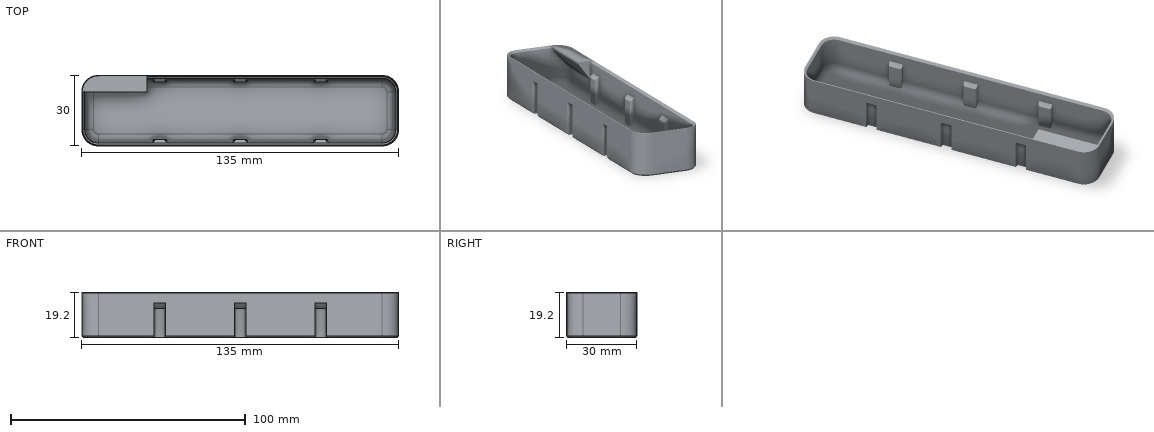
import cadquery as cq
import math

length = 135.0
width = 30.0
height = 19.2
corner_radius = 7.0
wall = 1.2
floor_thickness = 1.0
floor_fillet = 3.8
bottom_chamfer = 0.8
rim_land = 0.4

channel_pitch = 34.3
channel_offsets = (-channel_pitch, 0, channel_pitch)
channel_width = 5.0
channel_depth = 2.3
channel_height = 14.8
channel_corner_radius = 0.5

rib_skin = 0.5
rib_width = channel_width + 2 * rib_skin
rib_depth = channel_depth + rib_skin
rib_height = channel_height + rib_skin * math.sqrt(2)
rib_corner_radius = 0.8

shelf_length = 27.8
shelf_width = 7.0
shelf_edge = 0.8
shelf_slope_height = 7.6


def rounded_block(inset, bottom, top):
    """Upright block with the tray outline moved inwards by an inset."""
    return (
        cq.Workplane("XY")
        .workplane(offset=bottom)
        .rect(length - 2 * inset, width - 2 * inset)
        .extrude(top - bottom)
        .edges("|Z")
        .fillet(corner_radius - inset)
    )


def make_cavity():
    """Inside of the tray: rounded floor edge and a lead-in chamfer at the rim."""
    lead_in = wall - rim_land
    pocket = rounded_block(wall, floor_thickness, height).faces("<Z").edges().fillet(floor_fillet)
    flare = rounded_block(rim_land, height - 2 * lead_in, height).faces("<Z").chamfer(lead_in)
    flare = flare.translate((0, 0, lead_in))
    return pocket.union(flare)


def make_shelf(body):
    """Shelf in the -X, +Y corner, carried by a wedge down the +Y wall."""
    tip_y = width / 2 - shelf_width
    root_y = width / 2 - wall
    tip_z = height - shelf_edge
    root_z = tip_z - shelf_slope_height
    wedge = (
        cq.Workplane("YZ", origin=(-length / 2, 0, 0))
        .moveTo(tip_y, height)
        .lineTo(tip_y, tip_z)
        .lineTo(root_y, root_z)
        .lineTo(width / 2, root_z)
        .lineTo(width / 2, height)
        .close()
        .extrude(shelf_length)
    )
    return wedge.intersect(body)


def upright_bar(bar_width, depth, bottom, top, radius):
    """Bar reaching in from the -Y face, with rounded inner corners and a 45 degree roof."""
    outer_y = -width / 2
    inner_y = outer_y + depth
    return (
        cq.Workplane("YZ", origin=(-bar_width / 2, 0, 0))
        .moveTo(outer_y, bottom)
        .lineTo(inner_y, bottom)
        .lineTo(inner_y, top - depth)
        .lineTo(outer_y, top)
        .close()
        .extrude(bar_width)
        .edges("|Z and >Y")
        .fillet(radius)
    )


def on_both_walls(bar):
    """Bars at every channel place on the -Y wall and, mirrored, on the +Y wall."""
    bars = cq.Workplane("XY")
    for x in channel_offsets:
        placed = bar.translate((x, 0, 0))
        bars = bars.add(placed).add(placed.mirror("XZ"))
    return bars.combine()


body = rounded_block(0, 0, height).faces("<Z").chamfer(bottom_chamfer)
rib = upright_bar(rib_width, rib_depth, bottom_chamfer, rib_height, rib_corner_radius)
channel = upright_bar(channel_width, channel_depth, 0, channel_height, channel_corner_radius)

result = (
    body.cut(make_cavity())
    .union(make_shelf(body))
    .union(on_both_walls(rib))
    .cut(on_both_walls(channel))
)